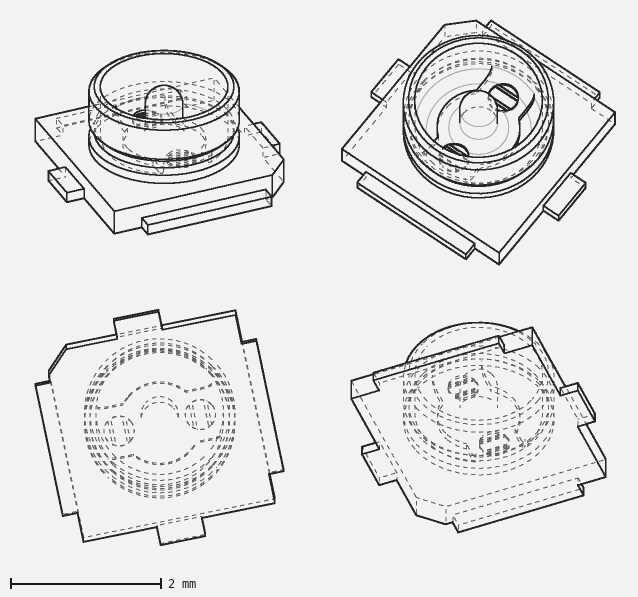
import cadquery as cq
import math

BASE_SIDE = 2.6
BASE_HEIGHT = 0.35
CORNER_CLIP = 0.3

TAB_HEIGHT = 0.15
SIDE_TAB_SPAN = 3.0
SIDE_TAB_LENGTH = 1.8
END_TAB_SPAN = 3.1
END_TAB_WIDTH = 0.61

TOP_Z = 1.25
RING_RADIUS = 1.0
RIM_RADIUS = 0.93
BORE_RADIUS = 0.85
EDGE_BEVEL = RING_RADIUS - RIM_RADIUS
GROOVE_BOTTOM_Z = 0.55
GROOVE_TOP_Z = 0.655

PAD_HEIGHT = 0.1
PAD_Z = BASE_HEIGHT + PAD_HEIGHT
PAD_RADIUS = 0.552
PAD_STRIP_WIDTH = 0.7

FLOOR_FILLET = 0.15
FILLET_MID = FLOOR_FILLET * (1 - math.sqrt(0.5))

PIN_RADIUS = 0.25
PIN_DOME_Z = 0.975

WINDOW_RADIUS = 0.2
WINDOW_OFFSET = 0.552
WINDOW_DEPTH = 0.03

RIB_WIDTH = 0.043
RIB_HEIGHT = 0.025
RIB_OFFSET = 0.1


def block(size_x, size_y, height):
    return cq.Workplane("XY").box(size_x, size_y, height, centered=(True, True, False))


def disc(radius, bottom_z, height):
    return cq.Workplane("XY").workplane(offset=bottom_z).circle(radius).extrude(height)


def make_base():
    base = block(BASE_SIDE, BASE_SIDE, BASE_HEIGHT)
    base = base.edges("|Z and >X and >Y").chamfer(CORNER_CLIP)
    side_tabs = block(SIDE_TAB_SPAN, SIDE_TAB_LENGTH, TAB_HEIGHT)
    end_tabs = block(END_TAB_WIDTH, END_TAB_SPAN, TAB_HEIGHT)
    return base.union(side_tabs).union(end_tabs)


def revolve_profile(profile):
    """Revolve an X-Z profile a full turn about the Z axis."""
    return profile.close().revolve(360, (0, 0, 0), (0, 1, 0))


def make_ring():
    """Grooved, bevelled shell around the bore."""
    profile = cq.Workplane("XZ").polyline(
        [
            (BORE_RADIUS, BASE_HEIGHT),
            (RING_RADIUS, BASE_HEIGHT),
            (RING_RADIUS, GROOVE_BOTTOM_Z - EDGE_BEVEL),
            (RIM_RADIUS, GROOVE_BOTTOM_Z),
            (RIM_RADIUS, GROOVE_TOP_Z),
            (RING_RADIUS, GROOVE_TOP_Z + EDGE_BEVEL),
            (RING_RADIUS, TOP_Z - EDGE_BEVEL),
            (RIM_RADIUS, TOP_Z),
            (BORE_RADIUS, TOP_Z),
        ]
    )
    return revolve_profile(profile)


def make_floor(floor_z):
    """Solid disc filling the bore up to floor_z, with a concave fillet up the bore wall."""
    flat_radius = BORE_RADIUS - FLOOR_FILLET
    profile = (
        cq.Workplane("XZ")
        .moveTo(0, 0)
        .lineTo(BORE_RADIUS, 0)
        .lineTo(BORE_RADIUS, floor_z + FLOOR_FILLET)
        .threePointArc((BORE_RADIUS - FILLET_MID, floor_z + FILLET_MID), (flat_radius, floor_z))
        .lineTo(0, floor_z)
    )
    return revolve_profile(profile)


def make_pad():
    """Raised floor: a disc joined to a strip that spans the bore along X."""
    outline_height = PAD_HEIGHT + FLOOR_FILLET
    outline = block(2 * BORE_RADIUS, PAD_STRIP_WIDTH, outline_height).translate((0, 0, BASE_HEIGHT))
    outline = outline.union(disc(PAD_RADIUS, BASE_HEIGHT, outline_height))
    return make_floor(PAD_Z).intersect(outline)


def make_pin():
    """Domed pin with a concave fillet at its foot."""
    foot_radius = PIN_RADIUS + FLOOR_FILLET
    dome_mid = PIN_RADIUS * math.sqrt(0.5)
    profile = (
        cq.Workplane("XZ")
        .moveTo(0, BASE_HEIGHT)
        .lineTo(foot_radius, BASE_HEIGHT)
        .lineTo(foot_radius, PAD_Z)
        .threePointArc((PIN_RADIUS + FILLET_MID, PAD_Z + FILLET_MID), (PIN_RADIUS, PAD_Z + FLOOR_FILLET))
        .lineTo(PIN_RADIUS, PIN_DOME_Z)
        .threePointArc((dome_mid, PIN_DOME_Z + dome_mid), (0, PIN_DOME_Z + PIN_RADIUS))
    )
    return revolve_profile(profile)


def make_window_cut():
    """Shallow round recess that leaves two thin ribs, running along Y, standing on its floor."""
    window = disc(WINDOW_RADIUS, PAD_Z - WINDOW_DEPTH, WINDOW_DEPTH + FLOOR_FILLET)
    rib = block(RIB_WIDTH, 2 * WINDOW_RADIUS, RIB_HEIGHT)
    for side in (-1, 1):
        window = window.cut(rib.translate((side * RIB_OFFSET, 0, PAD_Z - WINDOW_DEPTH)))
    return window


result = make_base()
for feature in (make_ring(), make_floor(BASE_HEIGHT), make_pad(), make_pin()):
    result = result.union(feature)
for side in (-1, 1):
    result = result.cut(make_window_cut().translate((side * WINDOW_OFFSET, 0, 0)))